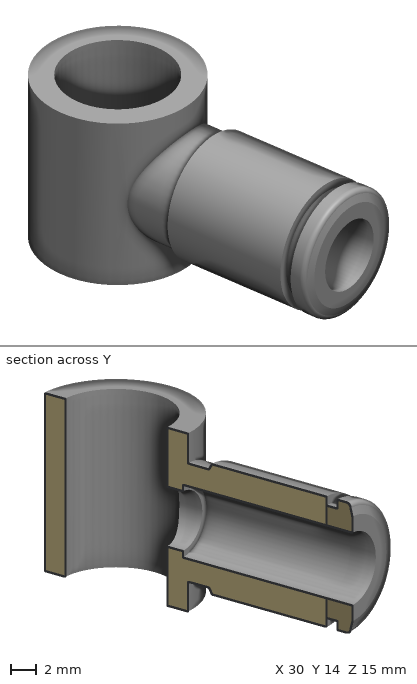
import cadquery as cq

RING_DIAMETER = 14.0
RING_BORE = 9.9
RING_HEIGHT = 15.0

NECK_DIAMETER = 10.0
SLEEVE_DIAMETER = 11.0
SLEEVE_START = 9.0
SLEEVE_END = 20.5
SLEEVE_STEP = (SLEEVE_DIAMETER - NECK_DIAMETER) / 2
SLEEVE_CHAMFER = 0.3
PASSAGE_DIAMETER = 5.0
SEAT_DIAMETER = 6.1
SEAT_START = 6.5

OVERALL_LENGTH = 30.0
COLLAR_END = OVERALL_LENGTH - RING_DIAMETER / 2
COLLAR_BORE = SEAT_DIAMETER
SHANK_DIAMETER = 9.5
FLANGE_DIAMETER = SLEEVE_DIAMETER
FLANGE_START = 21.5
RIM_RADIUS = 0.42
END_FACE_DIAMETER = 8.82
END_CONE_LENGTH = 0.18


def x_cylinder(diameter, start, end):
    """Cylinder on the X axis between two X positions."""
    return cq.Workplane("YZ", origin=(start, 0, 0)).circle(diameter / 2).extrude(end - start)


def z_cylinder(diameter):
    """Cylinder on the Z axis, as tall as the ring."""
    return cq.Workplane("XY", origin=(0, 0, -RING_HEIGHT / 2)).circle(diameter / 2).extrude(RING_HEIGHT)


def make_housing():
    """Ring with a side arm, bored vertically, with a stepped bore along the arm."""
    neck = x_cylinder(NECK_DIAMETER, 0, SLEEVE_START)
    sleeve = x_cylinder(SLEEVE_DIAMETER, SLEEVE_START, SLEEVE_END)
    sleeve = sleeve.faces("<X").edges().chamfer(SLEEVE_CHAMFER, SLEEVE_STEP)
    passage = x_cylinder(PASSAGE_DIAMETER, 0, SLEEVE_END)
    seat = x_cylinder(SEAT_DIAMETER, SEAT_START, SLEEVE_END)
    outside = z_cylinder(RING_DIAMETER).union(neck).union(sleeve)
    return outside.cut(z_cylinder(RING_BORE)).cut(passage).cut(seat)


def make_collar():
    """Flanged collar with a rounded rim and a shallow conical end."""
    bore_radius = COLLAR_BORE / 2
    shank_radius = SHANK_DIAMETER / 2
    flange_radius = FLANGE_DIAMETER / 2
    cone_start = COLLAR_END - END_CONE_LENGTH
    profile = (
        cq.Workplane("XY")
        .moveTo(SLEEVE_END, bore_radius)
        .lineTo(SLEEVE_END, shank_radius)
        .lineTo(FLANGE_START, shank_radius)
        .lineTo(FLANGE_START, flange_radius)
        .lineTo(cone_start - RIM_RADIUS, flange_radius)
        .radiusArc((cone_start, flange_radius - RIM_RADIUS), RIM_RADIUS)
        .lineTo(COLLAR_END, END_FACE_DIAMETER / 2)
        .lineTo(COLLAR_END, bore_radius)
        .close()
    )
    return profile.revolve(360, (0, 0, 0), (1, 0, 0))


housing = make_housing()
collar = make_collar()
result = cq.Compound.makeCompound([housing.solids().val(), collar.val()])